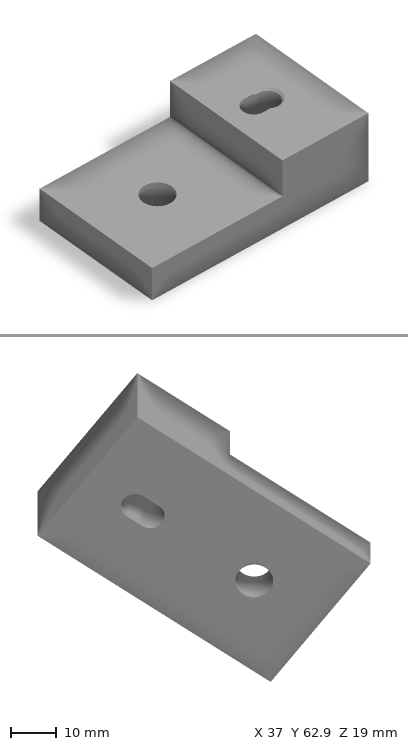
import cadquery as cq

width = 37.0
length = 62.85
height = 19.0
base_thickness = 9.0
raised_length = 24.95

base_hole_diameter = 8.3
base_hole_from_front = 17.9

slot_width = 6.2
slot_center_spacing = 4.1
slot_rear_center_from_back = 12.9

recess_diameter = 7.3
recess_depth = (recess_diameter - slot_width) / 2

front_y = -length / 2
back_y = length / 2
step_y = back_y - raised_length
slot_rear_y = back_y - slot_rear_center_from_back


def stepped_body():
    """Side profile extruded across the full width."""
    return (
        cq.Workplane("YZ")
        .moveTo(front_y, 0)
        .lineTo(back_y, 0)
        .lineTo(back_y, height)
        .lineTo(step_y, height)
        .lineTo(step_y, base_thickness)
        .lineTo(front_y, base_thickness)
        .close()
        .extrude(width / 2, both=True)
    )


def base_hole():
    return (
        cq.Workplane("XY")
        .center(0, front_y + base_hole_from_front)
        .circle(base_hole_diameter / 2)
        .extrude(base_thickness)
    )


def slot():
    return (
        cq.Workplane("XY")
        .center(0, slot_rear_y - slot_center_spacing / 2)
        .slot2D(slot_center_spacing + slot_width, slot_width, 90)
        .extrude(height)
    )


def slot_recess():
    """Cone narrowing from the top face down to the slot width."""
    return cq.Workplane(
        cq.Solid.makeCone(
            recess_diameter / 2,
            slot_width / 2,
            recess_depth,
            pnt=cq.Vector(0, slot_rear_y, height),
            dir=cq.Vector(0, 0, -1),
        )
    )


result = stepped_body().cut(base_hole()).cut(slot()).cut(slot_recess())